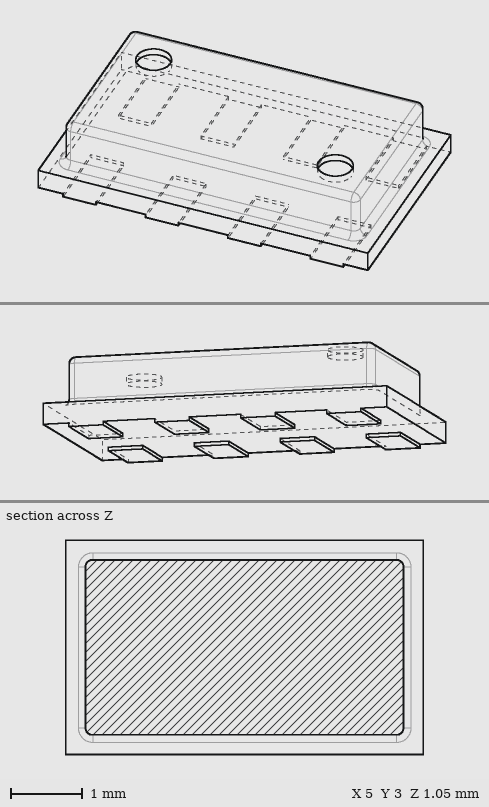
import cadquery as cq

board_length = 5.0
board_width = 3.0
board_thickness = 0.3

lid_inset = 0.275
lid_height = 0.7
lid_radius = 0.1
lid_length = board_length - 2 * lid_inset
lid_width = board_width - 2 * lid_inset

port_diameter = 0.5
port_depth = 0.1
port_inset = 0.85
port_x = board_length / 2 - port_inset
port_y = board_width / 2 - port_inset

pads_per_row = 4
pad_pitch = 1.25
pad_length = 0.5
pad_width = 1.0
pad_thickness = 0.05

board_bottom = pad_thickness
board_top = board_bottom + board_thickness
lid_top = board_top + lid_height


def make_board():
    return (
        cq.Workplane("XY")
        .workplane(offset=board_bottom)
        .rect(board_length, board_width)
        .extrude(board_thickness)
    )


def make_lid():
    """Box with rounded vertical and top edges."""
    return (
        cq.Workplane("XY")
        .workplane(offset=board_top)
        .rect(lid_length, lid_width)
        .extrude(lid_height)
        .edges("|Z or >Z")
        .fillet(lid_radius)
    )


def round_lid_foot(body):
    """Concave fillet where the lid meets the board."""
    margin = lid_inset / 2
    foot_zone = cq.selectors.BoxSelector(
        (-board_length / 2 + margin, -board_width / 2 + margin, board_top - margin),
        (board_length / 2 - margin, board_width / 2 - margin, board_top + margin),
    )
    return body.edges(foot_zone).edges("not |Z").fillet(lid_radius)


def make_pads():
    row_spacing = board_width - pad_width
    return (
        cq.Workplane("XY")
        .rarray(pad_pitch, row_spacing, pads_per_row, 2)
        .rect(pad_length, pad_width)
        .extrude(pad_thickness)
    )


def make_ports():
    return (
        cq.Workplane("XY")
        .workplane(offset=lid_top)
        .pushPoints([(-port_x, port_y), (port_x, -port_y)])
        .circle(port_diameter / 2)
        .extrude(-port_depth)
    )


body = round_lid_foot(make_board().union(make_lid()))
result = body.union(make_pads()).cut(make_ports())